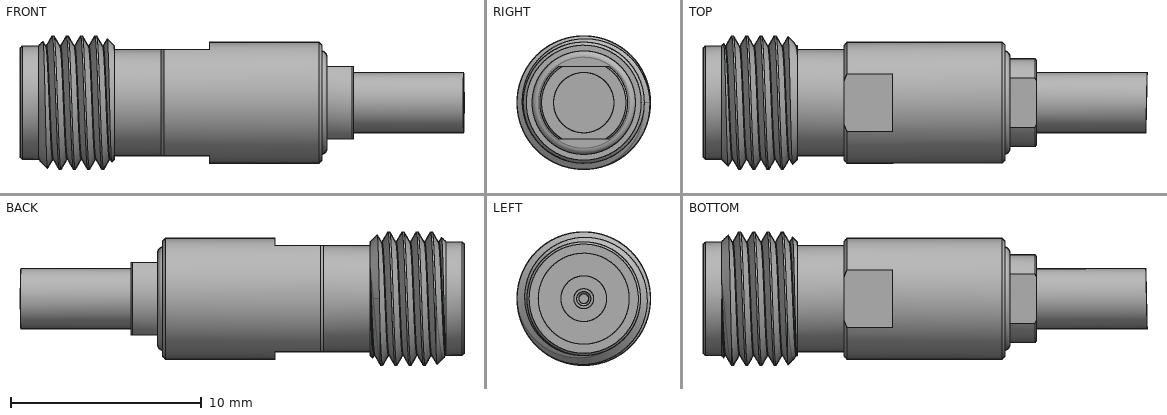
import cadquery as cq
import math

length = 23.3

nose_d = 5.96
nose_chamfer = 0.12
thread_d = 7.0
thread_pitch = 0.75
thread_start = 0.95
thread_end = 4.94
thread_flank_angle = 30.0
crest_flat = thread_pitch / 8
top_crest_x = 1.72
thread_turns = 6.8
thread_overlap = 0.02

neck_d = 5.6
body_d = 6.35
body_start = 7.38
body_end = 15.84
body_chamfer = 0.16
body_flat_end = 9.92

shoulder_d = 5.45
shoulder_face_d = 4.77
shoulder_end = 16.1
collar_d = 4.6
collar_end = 17.5
collar_chamfer = 0.1
collar_across_flats = 3.82
cable_d = 3.17
cable_slant = 0.07

bore_d = 4.77
bore_depth = 3.0
air_line_d = 2.4
air_line_depth = 1.86
contact_d = 1.05
contact_mouth_d = 0.75
contact_hole_d = 0.51
contact_hole_depth = 1.4


def cylinder(diameter, start, end):
    return cq.Workplane("YZ", origin=(start, 0, 0)).circle(diameter / 2).extrude(end - start)


def flats(across, start, end, diameter):
    """Two slabs above and below the part that cut a round section to `across` along Z."""
    slab = cq.Workplane("XY", origin=(start, 0, 0)).box(
        end - start, diameter, diameter, centered=(False, True, False)
    )
    upper = slab.translate((0, 0, across / 2))
    return upper.union(upper.mirror("XY"))


def make_thread():
    """Right-handed V ridge, trimmed by a sleeve with 45 degree ends."""
    root_r = nose_d / 2
    base_r = root_r - thread_overlap
    crest_r = thread_d / 2
    flank_run = (crest_r - base_r) * math.tan(math.radians(thread_flank_angle))
    crest_half = crest_flat / 2
    base_half = crest_half + flank_run
    profile = [
        (base_r, -base_half),
        (crest_r, -crest_half),
        (crest_r, crest_half),
        (base_r, base_half),
    ]

    helix_length = thread_turns * thread_pitch
    helices = [
        cq.Wire.makeHelix(thread_pitch, helix_length, radius).translate(cq.Vector(0, 0, offset))
        for radius, offset in profile
    ]
    sides = [
        cq.Face.makeRuledSurface(helix, neighbour)
        for helix, neighbour in zip(helices, helices[1:] + helices[:1])
    ]
    caps = [
        cq.Face.makeFromWires(
            cq.Wire.makePolygon([helix.positionAt(end) for helix in helices], close=True)
        )
        for end in (0, 1)
    ]
    ridge = cq.Solid.makeSolid(cq.Shell.makeShell(sides + caps))

    helix_start = top_crest_x - 1.5 * thread_pitch
    ridge = cq.Workplane(ridge).rotate((0, 0, 0), (0, 1, 0), 90).translate((helix_start, 0, 0))

    sleeve = cylinder(thread_d, thread_start, thread_end).edges("%CIRCLE").chamfer(crest_r - root_r)
    return ridge.intersect(sleeve)


def make_body():
    body = cylinder(body_d, body_start, body_end).edges().chamfer(body_chamfer)
    return body.cut(flats(neck_d, body_start, body_flat_end, body_d))


def make_shoulder():
    shoulder = cylinder(shoulder_d, body_start, shoulder_end)
    return shoulder.faces(">X").edges().fillet((shoulder_d - shoulder_face_d) / 2)


def make_collar():
    collar = cylinder(collar_d, body_start, collar_end).faces(">X").edges().chamfer(collar_chamfer)
    return collar.cut(flats(collar_across_flats, shoulder_end, collar_end, collar_d))


def make_cable():
    cable_r = cable_d / 2
    end_cut = (
        cq.Workplane("XY")
        .polyline([(length, cable_r), (length, -cable_r), (length - cable_slant, -cable_r)])
        .close()
        .extrude(cable_r, both=True)
    )
    return cylinder(cable_d, body_start, length).cut(end_cut)


def make_socket():
    """Space inside the mating end: a wide bore, then an air line around a hollow contact."""
    air_line_end = bore_depth + air_line_depth
    air_line = cylinder(air_line_d, bore_depth, air_line_end)
    contact = cylinder(contact_d, bore_depth, air_line_end)
    hole = cylinder(contact_hole_d, bore_depth, bore_depth + contact_hole_depth)
    mouth = cq.Workplane(
        cq.Solid.makeCone(
            contact_mouth_d / 2,
            contact_hole_d / 2,
            (contact_mouth_d - contact_hole_d) / 2,
            cq.Vector(bore_depth, 0, 0),
            cq.Vector(1, 0, 0),
        )
    )
    return cylinder(bore_d, 0, bore_depth).union(air_line.cut(contact)).union(hole).union(mouth)


nose = cylinder(nose_d, 0, thread_end).faces("<X").edges().chamfer(nose_chamfer)
neck = cylinder(neck_d, thread_start, body_end)

result = (
    nose.union(make_thread())
    .union(neck)
    .union(make_body())
    .union(make_shoulder())
    .union(make_collar())
    .union(make_cable())
    .cut(make_socket())
)